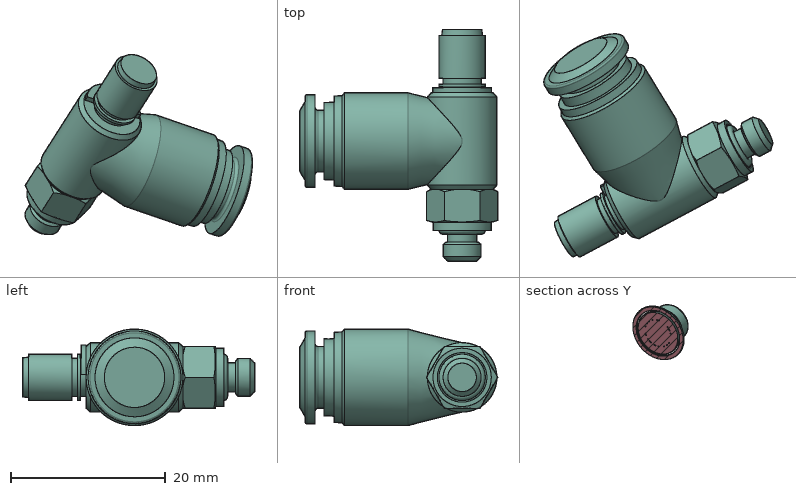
import cadquery as cq
import math


body_radius = 4.5
body_end_chamfer = 0.5
body_chamfer_length = 0.55
body_front_y = -6.25
body_back_y = 6.25

hex_across_flats = 8.0
hex_end_y = -10.5
hex_body_side_radius = 4.1
hex_body_side_bevel = 0.3
hex_flange_side_bevel = 0.24

flange_radius = 3.77
flange_end_y = -11.56
seal_recess_radius = 3.2
seal_recess_depth = 0.4
seal_center_radius = 2.45
seal_wire_radius = 0.55
seal_center_y = -11.5
spigot_neck_radius = 1.91
thread_radius = 2.46
thread_start_y = -13.05
thread_start_radius = 2.1
thread_lead_in_length = 0.3
thread_end_chamfer = 0.62
spigot_end_y = -15.55

stop_radius = 3.8
stop_offset_z = 0.4
stop_end_y = 6.9

stem_radius = 2.5
knob_radius = 3.0
snap_ring_start_y = 7.0
snap_ring_end_y = 7.37
knob_start_y = 8.1
knob_end_y = 13.67
cap_base_radius = 2.65
cap_tip_radius = 2.55
cap_end_y = 14.45

sleeve_radius = 6.25
sleeve_front_x = -15.2
cone_start_x = -7.0

sleeve_chamfer_x = -15.5
outer_collar_x = -16.54
outer_collar_radius = 5.83
outer_collar_base_radius = 5.9
inner_collar_x = -17.85
inner_collar_radius = 5.0
inner_collar_base_radius = 5.04

button_neck_radius = 4.0
button_neck_fillet = 0.4
button_back_x = -19.0
button_radius = 6.0
button_edge_fillet = 0.25
button_front_x = -20.3
button_cone_radius = 5.1
button_face_radius = 3.9
button_face_x = -21.0


def rod(radius, start_y, end_y):
    """Round bar along Y."""
    return cq.Workplane("XZ", origin=(0, start_y, 0)).circle(radius).extrude(start_y - end_y)


def revolve_about_y(points):
    """Solid of revolution about Y from (radius, y) points."""
    return cq.Workplane("XY").polyline(points).close().revolve(360, (0, 0, 0), (0, 1, 0))


def make_body():
    end_radius = body_radius - body_end_chamfer
    return revolve_about_y([
        (0, body_front_y),
        (end_radius, body_front_y),
        (body_radius, body_front_y + body_chamfer_length),
        (body_radius, body_back_y - body_chamfer_length),
        (end_radius, body_back_y),
        (0, body_back_y),
    ])


def make_hex():
    """Hexagon with corners on X, bevelled at both ends; the outer bevel starts at the flange."""
    corner_radius = hex_across_flats / math.sqrt(3)
    length = body_front_y - hex_end_y
    prism = (
        cq.Workplane("XZ", origin=(0, body_front_y, 0))
        .polygon(6, 2 * corner_radius)
        .extrude(length)
    )
    bevel = revolve_about_y([
        (0, hex_end_y),
        (flange_radius, hex_end_y),
        (corner_radius, hex_end_y + hex_flange_side_bevel),
        (corner_radius, body_front_y - hex_body_side_bevel),
        (hex_body_side_radius, body_front_y),
        (0, body_front_y),
    ])
    return prism.intersect(bevel)


def make_spigot():
    """Flange with a recessed O-ring, and the threaded spigot."""
    recess_y = flange_end_y + seal_recess_depth
    spigot = revolve_about_y([
        (0, hex_end_y),
        (flange_radius, hex_end_y),
        (flange_radius, flange_end_y),
        (seal_recess_radius, flange_end_y),
        (seal_recess_radius, recess_y),
        (spigot_neck_radius, recess_y),
        (spigot_neck_radius, thread_start_y),
        (thread_start_radius, thread_start_y),
        (thread_radius, thread_start_y - thread_lead_in_length),
        (thread_radius, spigot_end_y + thread_end_chamfer),
        (thread_radius - thread_end_chamfer, spigot_end_y),
        (0, spigot_end_y),
    ])
    seal = (
        cq.Workplane("XY")
        .center(seal_center_radius, seal_center_y)
        .circle(seal_wire_radius)
        .revolve(360, (-seal_center_radius, 0, 0), (-seal_center_radius, 1, 0))
    )
    return spigot.union(seal)


def make_stop():
    """Half disc on the +Z side of the stem."""
    return (
        cq.Workplane("XZ", origin=(0, body_back_y, 0))
        .moveTo(-stop_radius, stop_offset_z)
        .threePointArc((0, stop_offset_z + stop_radius), (stop_radius, stop_offset_z))
        .close()
        .extrude(body_back_y - stop_end_y)
    )


def make_knob():
    stem = rod(stem_radius, body_back_y, knob_start_y)
    snap_ring = rod(knob_radius, snap_ring_start_y, snap_ring_end_y)
    grip = rod(knob_radius, knob_start_y, knob_end_y)
    cap = revolve_about_y([
        (0, knob_end_y),
        (cap_base_radius, knob_end_y),
        (cap_tip_radius, cap_end_y),
        (0, cap_end_y),
    ])
    return stem.union(snap_ring).union(grip).union(cap)


def make_tube_port():
    """Release button, collars, sleeve and cone as one turned profile about X."""
    arc_share = 1 - math.sqrt(0.5)
    edge_inset = button_edge_fillet * arc_share
    neck_inset = button_neck_fillet * arc_share
    return (
        cq.Workplane("XY")
        .moveTo(button_face_x, 0)
        .lineTo(button_face_x, button_face_radius)
        .lineTo(button_front_x, button_cone_radius)
        .lineTo(button_front_x, button_radius - button_edge_fillet)
        .threePointArc(
            (button_front_x + edge_inset, button_radius - edge_inset),
            (button_front_x + button_edge_fillet, button_radius),
        )
        .lineTo(button_back_x, button_radius)
        .lineTo(button_back_x, button_neck_radius + button_neck_fillet)
        .threePointArc(
            (button_back_x + neck_inset, button_neck_radius + neck_inset),
            (button_back_x + button_neck_fillet, button_neck_radius),
        )
        .lineTo(inner_collar_x, button_neck_radius)
        .lineTo(inner_collar_x, inner_collar_radius)
        .lineTo(outer_collar_x, inner_collar_base_radius)
        .lineTo(outer_collar_x, outer_collar_radius)
        .lineTo(sleeve_chamfer_x, outer_collar_base_radius)
        .lineTo(sleeve_front_x, sleeve_radius)
        .lineTo(cone_start_x, sleeve_radius)
        .lineTo(0, body_radius)
        .lineTo(0, 0)
        .close()
        .revolve(360, (0, 0, 0), (1, 0, 0))
    )


result = (
    make_body()
    .union(make_tube_port())
    .union(make_hex())
    .union(make_spigot())
    .union(make_stop())
    .union(make_knob())
)